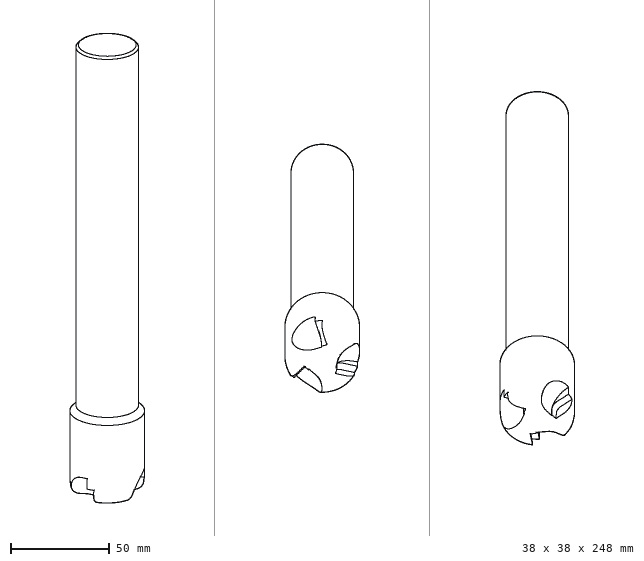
import cadquery as cq

total_length = 248.0
shank_radius = 16.0
shank_chamfer = 1.2
head_radius = 19.0
head_length = 48.1
shoulder_height = head_radius - shank_radius

relief_top = 6.7
relief_bottom = 5.2
nose_radius = 18.9
nose_fillet = relief_bottom

pocket_count = 3
pocket_axis_angle = 180.0
flute_floor = 7.7
wall_offset = 2.0
flute_offset = 1.0
flute_radius = 14.1
flute_corner = 11.0
seat_thickness = 3.7
seat_lower_thickness = 3.0
seat_floor = 8.2
seat_roof_fillet = 3.0
seat_height = 8.5
cut_reach = 2 * head_radius


def make_body():
    """Shank and head, revolved about Z."""
    arc_offset = nose_fillet * 0.5 ** 0.5
    profile = (
        cq.Workplane("XZ")
        .lineTo(nose_radius - nose_fillet, 0)
        .threePointArc(
            (nose_radius - nose_fillet + arc_offset, nose_fillet - arc_offset),
            (nose_radius, relief_bottom),
        )
        .lineTo(head_radius, relief_top)
        .lineTo(head_radius, head_length - shoulder_height)
        .lineTo(shank_radius, head_length)
        .lineTo(shank_radius, total_length - shank_chamfer)
        .lineTo(shank_radius - shank_chamfer, total_length)
        .lineTo(0, total_length)
        .close()
    )
    return profile.revolve(360, (0, 0, 0), (0, 1, 0))


def make_pocket():
    """Cutter for one pocket: a round-nosed flute ending at a flat wall plus an insert seat, facing +X."""
    flute = (
        cq.Workplane("YZ", origin=(flute_floor, flute_offset, 0))
        .circle(flute_radius)
        .extrude(cut_reach)
        .faces("<X")
        .edges()
        .fillet(flute_corner)
    )
    wall_side = cq.Workplane("XY").box(
        2 * cut_reach, cut_reach, 2 * cut_reach, centered=(True, False, True)
    )
    flute = flute.cut(wall_side.translate((0, wall_offset, 0)))
    seat = (
        cq.Workplane("YZ", origin=(seat_floor, wall_offset, 0))
        .lineTo(seat_lower_thickness, 0)
        .lineTo(seat_thickness, seat_height)
        .lineTo(0, seat_height)
        .close()
        .extrude(cut_reach)
        .edges("<X and >Z")
        .fillet(seat_roof_fillet)
    )
    return flute.union(seat)


result = make_body()
pocket = make_pocket()
for index in range(pocket_count):
    angle = pocket_axis_angle + index * 360 / pocket_count
    result = result.cut(pocket.rotate((0, 0, 0), (0, 0, 1), angle))